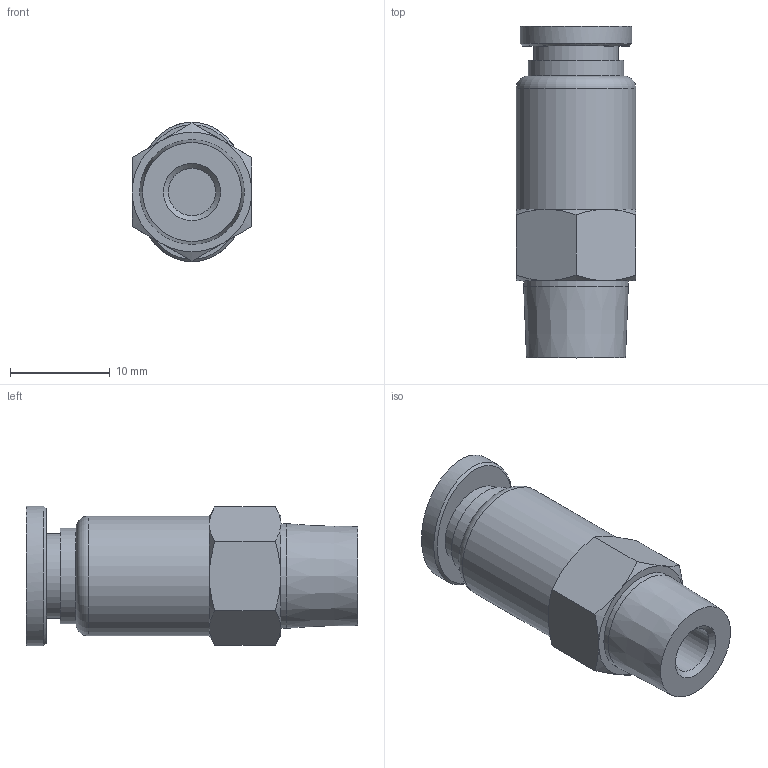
import cadquery as cq
import math


total_length = 33.29
thread_length = 7.75
thread_collar_length = 0.6
hex_length = 7.15
rear_end_length = 5.0
sleeve_length = 1.55
collar_thickness = 2.0

thread_large_diameter = 10.5
thread_small_diameter = 9.93
hex_sides = 6
hex_across_flats = 12.0
body_diameter = 12.0
sleeve_diameter = 9.56
neck_diameter = 8.5
collar_width = 11.2
collar_height = 14.0
bore_diameter = 4.75
bore_mouth_diameter = 5.75

hex_chamfer_angle = 30.0
hex_half_side_angle = 180.0 / hex_sides
body_round = (body_diameter - sleeve_diameter) / 2
collar_chamfer = 0.25

hex_end = thread_length + hex_length
body_end = total_length - rear_end_length
sleeve_end = body_end + sleeve_length
collar_start = total_length - collar_thickness
bore_depth = hex_end


def section_plane(y):
    """Plane across the axis at the given Y, with its normal along +Y."""
    return cq.Workplane(cq.Plane(origin=(0, y, 0), xDir=(1, 0, 0), normal=(0, 1, 0)))


def cylinder(diameter, start, end):
    return section_plane(start).circle(diameter / 2).extrude(end - start)


def revolve_about_y(profile):
    return profile.close().revolve(360, (0, 0, 0), (0, 1, 0))


def make_thread():
    """Taper thread blank with a short straight length next to the hexagon."""
    large_radius = thread_large_diameter / 2
    small_radius = thread_small_diameter / 2
    taper_end = thread_length - thread_collar_length
    profile = (
        cq.Workplane("XY")
        .lineTo(small_radius, 0)
        .lineTo(large_radius, taper_end)
        .lineTo(large_radius, thread_length)
        .lineTo(0, thread_length)
    )
    return revolve_about_y(profile)


def make_hexagon():
    """Hexagon with corners up and down, its corners chamfered at both ends."""
    flat_radius = hex_across_flats / 2
    corner_radius = flat_radius / math.cos(math.radians(hex_half_side_angle))
    prism = (
        section_plane(thread_length)
        .polygon(hex_sides, 2 * corner_radius)
        .extrude(hex_length)
        .rotate((0, 0, 0), (0, 1, 0), hex_half_side_angle)
    )
    chamfer_depth = (corner_radius - flat_radius) * math.tan(math.radians(hex_chamfer_angle))
    profile = (
        cq.Workplane("XY")
        .moveTo(0, thread_length)
        .lineTo(flat_radius, thread_length)
        .lineTo(corner_radius, thread_length + chamfer_depth)
        .lineTo(corner_radius, hex_end - chamfer_depth)
        .lineTo(flat_radius, hex_end)
        .lineTo(0, hex_end)
    )
    return prism.intersect(revolve_about_y(profile))


def make_body():
    """Round body whose rear edge curves in to the sleeve diameter."""
    profile = (
        cq.Workplane("XY")
        .moveTo(0, hex_end)
        .lineTo(body_diameter / 2, hex_end)
        .lineTo(body_diameter / 2, body_end - body_round)
        .radiusArc((sleeve_diameter / 2, body_end), -body_round)
        .lineTo(0, body_end)
    )
    return revolve_about_y(profile)


def make_release_collar():
    """Elliptical release collar, chamfered on the side facing the body."""
    return (
        section_plane(collar_start)
        .ellipse(collar_width / 2, collar_height / 2)
        .extrude(collar_thickness)
        .faces("<Y")
        .edges()
        .chamfer(collar_chamfer)
    )


def make_bore():
    """Blind bore from the threaded end with a 45 degree mouth."""
    bore_radius = bore_diameter / 2
    mouth_radius = bore_mouth_diameter / 2
    profile = (
        cq.Workplane("XY")
        .lineTo(mouth_radius, 0)
        .lineTo(bore_radius, mouth_radius - bore_radius)
        .lineTo(bore_radius, bore_depth)
        .lineTo(0, bore_depth)
    )
    return revolve_about_y(profile)


result = (
    make_thread()
    .union(make_hexagon())
    .union(make_body())
    .union(cylinder(sleeve_diameter, body_end, sleeve_end))
    .union(cylinder(neck_diameter, sleeve_end, collar_start))
    .union(make_release_collar())
    .cut(make_bore())
)